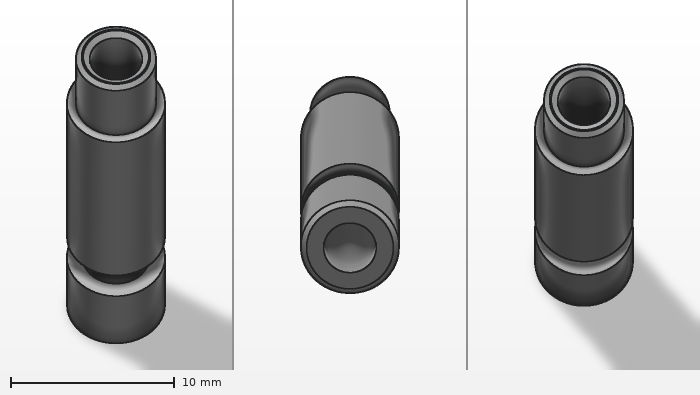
import cadquery as cq
import math

total_length = 25.3
head_length = 5.0
neck_length = 2.1
spigot_length = 4.7

body_radius = 6.0 / 2
neck_radius = 4.1 / 2
spigot_radius = 4.9 / 2
bore_radius = 3.2 / 2

chamfer_angle = math.radians(30.0)
outer_chamfer_width = 0.35
rim_width = 0.1

neck_top = head_length + neck_length
shoulder = total_length - spigot_length
outer_chamfer_height = outer_chamfer_width * math.tan(chamfer_angle)
rim_outer_radius = spigot_radius - outer_chamfer_width
rim_inner_radius = rim_outer_radius - rim_width
bore_chamfer_height = (rim_inner_radius - bore_radius) * math.tan(chamfer_angle)


def make_pin():
    """Revolve the half section of the hollow pin, given as (radius, height), about Z."""
    half_section = [
        (bore_radius, 0),
        (body_radius - outer_chamfer_width, 0),
        (body_radius, outer_chamfer_height),
        (body_radius, head_length),
        (neck_radius, head_length),
        (neck_radius, neck_top),
        (body_radius, neck_top),
        (body_radius, shoulder),
        (spigot_radius, shoulder),
        (spigot_radius, total_length - outer_chamfer_height),
        (rim_outer_radius, total_length),
        (rim_inner_radius, total_length),
        (bore_radius, total_length - bore_chamfer_height),
    ]
    axis_start = (0, 0)
    axis_end = (0, 1)
    return cq.Workplane("XZ").polyline(half_section).close().revolve(360, axis_start, axis_end)


result = make_pin()